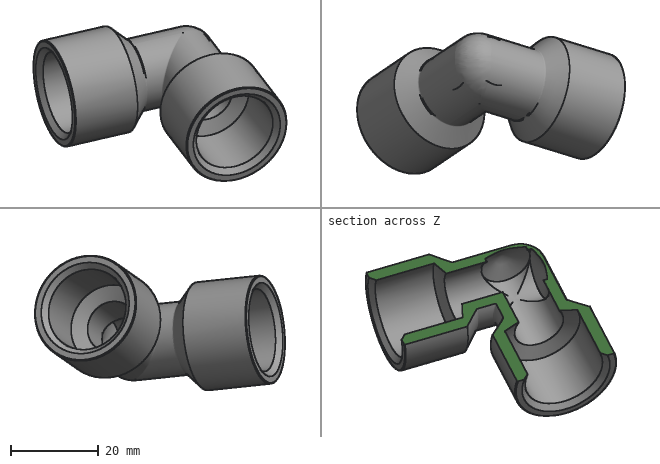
import cadquery as cq
import math

overall_size = 44.5
socket_diameter = 25.0
socket_length = 15.55
pipe_radius = 8.5
neck_fillet = 0.45
rim_chamfer = 0.22
heel_fillet = 5.9
throat_fillet = 0.25
sharp_strip = 0.15

mouth_radius = 10.8
bore_radius = 9.52
mouth_depth = 1.3
seat_half_angle = 68.0
passage_radius = 6.0
passage_overrun = 5.95
tip_half_angle = 70.0

socket_radius = socket_diameter / 2
arm_length = overall_size - socket_radius
shoulder_end = arm_length - socket_length

half_turn = math.radians(45 / 2)
shoulder_start = shoulder_end - (socket_radius - pipe_radius)
tangent_length = neck_fillet * math.tan(half_turn)
pipe_length = shoulder_start - tangent_length
seat_depth = (bore_radius - passage_radius) / math.tan(math.radians(seat_half_angle))
tip_depth = passage_radius / math.tan(math.radians(tip_half_angle))


def along_minus_y(body):
    """Turn a body lying along +X so that it lies along -Y."""
    return body.rotate((0, 0, 0), (0, 0, 1), -90)


def make_bend_strip(low, high):
    """Sharp-mitred bend holding only the X pipe's material between y = low and y = high."""
    full_pipe = cq.Workplane("YZ", origin=(-socket_radius, 0, 0)).circle(pipe_radius)
    full_pipe = full_pipe.extrude(socket_radius + pipe_length)
    strip = cq.Workplane("XY").box(2 * arm_length, high - low, socket_diameter)
    strip = strip.translate((0, (low + high) / 2, 0))
    mitre_keep = (
        cq.Workplane("XY")
        .polyline([(-arm_length, arm_length), (arm_length, arm_length), (arm_length, -arm_length)])
        .close()
        .extrude(socket_radius, both=True)
    )
    x_arm = full_pipe.intersect(strip).intersect(mitre_keep)
    y_arm = cq.Workplane(x_arm.val().mirror(cq.Vector(1, 1, 0)))
    return x_arm.union(y_arm, clean=False)


def round_mitre(bend, y, radius):
    """Fillet the mitre edge whose centre lies nearest to the point (-y, y, 0)."""
    return bend.edges(cq.selectors.NearestToPointSelector((-y, y, 0))).fillet(radius)


def make_bend():
    """
    Pipe bend with a rounded heel and throat. The heel rounding stops at a narrow
    sharp strip next to the axes, where the mitre edge flattens out to nothing.
    """
    heel = round_mitre(make_bend_strip(sharp_strip, socket_radius), pipe_radius / 2, heel_fillet)
    strip = make_bend_strip(0, sharp_strip)
    throat = round_mitre(make_bend_strip(-socket_radius, 0), -pipe_radius / 2, throat_fillet)
    return heel.union(strip, clean=False).union(throat, clean=False)


def make_socket():
    """45 degree conical shoulder and socket body with a chamfered rim, along +X."""
    diagonal = math.sqrt(0.5)
    return (
        cq.Workplane("XY")
        .moveTo(pipe_length, 0)
        .lineTo(pipe_length, pipe_radius)
        .threePointArc(
            (
                pipe_length + neck_fillet * math.sin(half_turn),
                pipe_radius + neck_fillet * (1 - math.cos(half_turn)),
            ),
            (shoulder_start + tangent_length * diagonal, pipe_radius + tangent_length * diagonal),
        )
        .lineTo(shoulder_end, socket_radius)
        .lineTo(arm_length - rim_chamfer, socket_radius)
        .lineTo(arm_length, socket_radius - rim_chamfer)
        .lineTo(arm_length, 0)
        .close()
        .revolve(360, (0, 0, 0), (1, 0, 0))
    )


def make_bore():
    """Socket bore and passage along +X, with a drill-point end past the other axis."""
    outline = [
        (-passage_overrun - tip_depth, 0),
        (-passage_overrun, passage_radius),
        (shoulder_end - seat_depth, passage_radius),
        (shoulder_end, bore_radius),
        (arm_length - mouth_depth, bore_radius),
        (arm_length, mouth_radius),
        (arm_length, 0),
    ]
    return (
        cq.Workplane("XY")
        .polyline(outline)
        .close()
        .revolve(360, (0, 0, 0), (1, 0, 0))
    )


socket = make_socket()
bore = make_bore()

result = make_bend()
for body in (socket, along_minus_y(socket)):
    result = result.union(body, clean=False)
for cavity in (bore, along_minus_y(bore)):
    result = result.cut(cavity, clean=False)